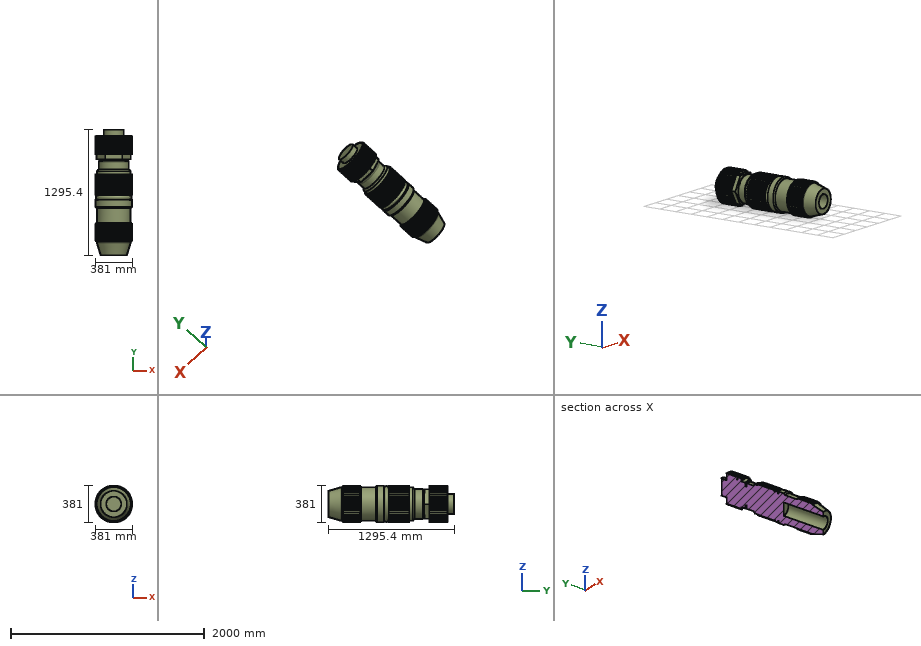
import cadquery as cq
import math

TOTAL_LENGTH = 1295.4
SOCKET_END = 63.5
NUT_END = 254.0
HEX_END = 304.8
NECK_END = 321.0
COLLAR_END = 406.4
SLEEVE_START = 427.0
GRIP_START = 461.0
GRIP_END = 673.0
ORING_CENTER = 699.0
BAND_START = 724.0
BAND_END = 794.0
GLAND_START = 958.0
GLAND_END = 1157.0
TAIL_START = 1166.0

OUTER_RADIUS = 381.0 / 2
SOCKET_RADIUS = 104.5
NECK_RADIUS = 114.0
COLLAR_RADIUS = 155.0
COLLAR_ROUND = 8.0
BODY_RADIUS = 175.0
ORING_RADIUS = 23.0
ORING_OUTER_RADIUS = 186.0
TAIL_RADIUS = 136.0
BORE_RADIUS = 77.0
BORE_DEPTH = 500.0

HEX_SIDES = 6
HEX_ACROSS_FLATS = 308.0
TOOTH_COUNT = 49
TOOTH_DEPTH = 14.0
NUT_CHAMFER = 8.5
SHOULDER_CHAMFER = OUTER_RADIUS - BODY_RADIUS


def place(solid):
    """Turn a solid built along +Z from the socket end so that it runs toward -Y, centred on the origin."""
    return solid.rotate((0, 0, 0), (1, 0, 0), 90).translate((0, TOTAL_LENGTH / 2, 0))


def turned_body():
    """Solid of revolution: socket, neck, collar, sleeve, O-ring, band and tapered tail."""
    oring_seat = ORING_OUTER_RADIUS - ORING_RADIUS
    profile = (
        cq.Workplane("XZ")
        .moveTo(0, 0)
        .lineTo(SOCKET_RADIUS, 0)
        .lineTo(SOCKET_RADIUS, HEX_END)
        .lineTo(NECK_RADIUS, HEX_END)
        .lineTo(NECK_RADIUS, NECK_END)
        .lineTo(COLLAR_RADIUS - COLLAR_ROUND, NECK_END)
        .radiusArc((COLLAR_RADIUS, NECK_END + COLLAR_ROUND), -COLLAR_ROUND)
        .lineTo(COLLAR_RADIUS, COLLAR_END)
        .lineTo(BODY_RADIUS, SLEEVE_START)
        .lineTo(BODY_RADIUS, GRIP_END)
        .lineTo(oring_seat, GRIP_END)
        .lineTo(oring_seat, ORING_CENTER - ORING_RADIUS)
        .threePointArc((ORING_OUTER_RADIUS, ORING_CENTER), (oring_seat, ORING_CENTER + ORING_RADIUS))
        .lineTo(oring_seat, BAND_START)
        .lineTo(OUTER_RADIUS, BAND_START)
        .lineTo(OUTER_RADIUS, BAND_END)
        .lineTo(BODY_RADIUS, BAND_END + SHOULDER_CHAMFER)
        .lineTo(BODY_RADIUS, TAIL_START)
        .lineTo(TAIL_RADIUS, TOTAL_LENGTH)
        .lineTo(0, TOTAL_LENGTH)
        .close()
    )
    return profile.revolve(360, (0, 0, 0), (0, 1, 0))


def knurled_ring(start, end, start_chamfer=0.0, end_chamfer=0.0):
    """Ring of sharp V-shaped teeth between two stations, chamfered at either end; one ridge lies on +Z."""
    half_pitch = math.pi / TOOTH_COUNT
    outline = []
    for i in range(2 * TOOTH_COUNT):
        radius = OUTER_RADIUS - TOOTH_DEPTH * (i % 2)
        outline.append((radius * math.sin(i * half_pitch), radius * math.cos(i * half_pitch)))
    length = end - start
    base = cq.Workplane("XY").workplane(offset=start)
    ring = base.polyline(outline).close().extrude(length)
    envelope = base.circle(OUTER_RADIUS).extrude(length)
    if start_chamfer:
        envelope = envelope.faces("<Z").chamfer(start_chamfer)
    if end_chamfer:
        envelope = envelope.faces(">Z").chamfer(end_chamfer)
    return ring.intersect(envelope)


def hexagon():
    """Hexagonal shoulder behind the coupling nut, corners on the X axis."""
    corner_diameter = HEX_ACROSS_FLATS / math.cos(math.pi / HEX_SIDES)
    base = cq.Workplane("XY").workplane(offset=NUT_END)
    return base.polygon(HEX_SIDES, corner_diameter).extrude(HEX_END - NUT_END)


def cable_bore():
    """Blind hole for the cable, entering through the tail."""
    base = cq.Workplane("XY").workplane(offset=TOTAL_LENGTH - BORE_DEPTH)
    return base.circle(BORE_RADIUS).extrude(BORE_DEPTH)


connector = (
    turned_body()
    .union(knurled_ring(SOCKET_END, NUT_END, start_chamfer=NUT_CHAMFER))
    .union(hexagon())
    .union(knurled_ring(GRIP_START, GRIP_END))
    .union(knurled_ring(GLAND_START, GLAND_END, SHOULDER_CHAMFER, SHOULDER_CHAMFER))
    .cut(cable_bore())
)

result = place(connector)